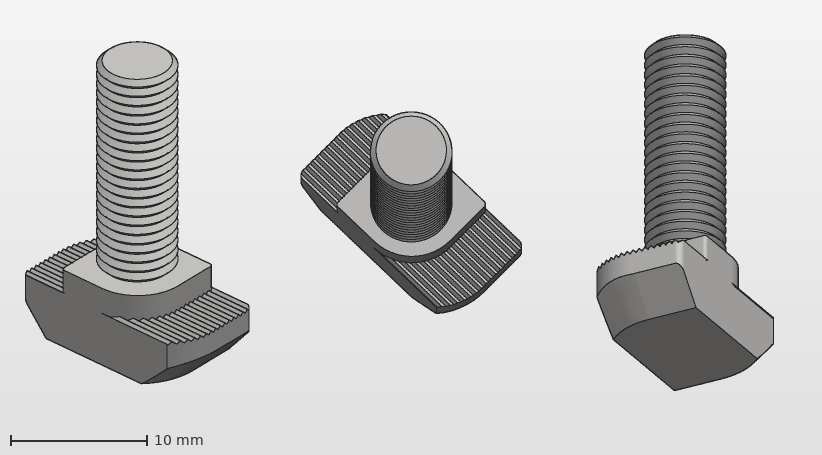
import cadquery as cq
import math

TOTAL_HEIGHT = 24.6
HEAD_LENGTH = 15.6
HEAD_DEPTH = 7.8
HALF_LENGTH = HEAD_LENGTH / 2
HALF_DEPTH = HEAD_DEPTH / 2

FLANGE_TOP = 4.7
BEVEL_TOP = 2.73
NECK_TOP = 6.67

BEVEL_BOTTOM_RADIUS = 5.49
BIG_CORNER_CUT = 1.4
BIG_CORNER_START = 0.42
SMALL_CORNER_RADIUS = 0.5
NECK_HALF_LENGTH = 3.95
NECK_CORNER_RADIUS = 0.27

GROOVE_COUNT = 16
FULL_GROOVE_COUNT = 15
FULL_GROOVE_SPAN = 7.5
SERRATION_PITCH = FULL_GROOVE_SPAN / FULL_GROOVE_COUNT
SERRATION_DEPTH = SERRATION_PITCH / 2
CUT_CLEARANCE = 0.12

STUD_BOTTOM = 7.0
CREST_RADIUS = 3.0
ROOT_RADIUS = 2.58
THREAD_COUNT = 22
THREAD_PITCH = (TOTAL_HEIGHT - STUD_BOTTOM) / THREAD_COUNT


def half_turn(shape):
    """The shape turned 180 degrees about the Z axis."""
    return shape.rotate((0, 0, 0), (0, 0, 1), 180)


def vertical_edges_at(half_length, mid_z):
    """Selects the two square corners, at -X -Y and at +X +Y, of a block as deep as the head."""
    near_corner = cq.selectors.NearestToPointSelector((-half_length, -HALF_DEPTH, mid_z))
    far_corner = cq.selectors.NearestToPointSelector((half_length, HALF_DEPTH, mid_z))
    return near_corner + far_corner


def flange_blank():
    """Plate with two large tangent corners and two small ones, diagonally opposite."""
    corner_rise = HALF_DEPTH - BIG_CORNER_START
    radius = (corner_rise**2 + BIG_CORNER_CUT**2) / (2 * BIG_CORNER_CUT)
    arc_end_x = HALF_LENGTH - BIG_CORNER_CUT
    mid_angle = math.asin(corner_rise / radius) / 2
    mid_x = HALF_LENGTH - radius * (1 - math.cos(mid_angle))
    mid_y = BIG_CORNER_START + radius * math.sin(mid_angle)
    return (
        cq.Workplane("XY")
        .moveTo(-HALF_LENGTH, -HALF_DEPTH)
        .lineTo(arc_end_x, -HALF_DEPTH)
        .threePointArc((mid_x, -mid_y), (HALF_LENGTH, -BIG_CORNER_START))
        .lineTo(HALF_LENGTH, HALF_DEPTH)
        .lineTo(-arc_end_x, HALF_DEPTH)
        .threePointArc((-mid_x, mid_y), (-HALF_LENGTH, BIG_CORNER_START))
        .close()
        .extrude(FLANGE_TOP)
        .edges(vertical_edges_at(HALF_LENGTH, FLANGE_TOP / 2))
        .fillet(SMALL_CORNER_RADIUS)
    )


def bevel_section():
    """Half section inside the bevel; its slope runs on past the end face to the flange top."""
    slope = (HALF_LENGTH - BEVEL_BOTTOM_RADIUS) / BEVEL_TOP
    top_radius = BEVEL_BOTTOM_RADIUS + slope * FLANGE_TOP
    return (
        cq.Workplane("XZ")
        .lineTo(-BEVEL_BOTTOM_RADIUS, 0)
        .lineTo(-top_radius, FLANGE_TOP)
        .lineTo(0, FLANGE_TOP)
        .close()
    )


def bevel_envelope():
    """Lower bevel: conical beside the large corners, flat beside the small ones."""
    cone = bevel_section().revolve(360, (0, 0, 0), (0, 1, 0))
    flat_side = bevel_section().extrude(HALF_DEPTH)
    return cone.union(flat_side).union(half_turn(flat_side))


def wing_grooves():
    """Groove cutters for the -X wing, counted from a crest on the -Y side."""
    valley_z = FLANGE_TOP - SERRATION_DEPTH
    cutter_height = SERRATION_DEPTH + CUT_CLEARANCE
    cutters = cq.Workplane("XY")
    for index in range(GROOVE_COUNT):
        valley_y = -HALF_DEPTH + (index + 0.5) * SERRATION_PITCH
        groove = (
            cq.Workplane("YZ", origin=(-HALF_LENGTH - CUT_CLEARANCE, valley_y, valley_z))
            .lineTo(cutter_height, cutter_height)
            .lineTo(-cutter_height, cutter_height)
            .close()
            .extrude(HALF_LENGTH + CUT_CLEARANCE)
        )
        cutters = cutters.add(groove)
    return cutters.combine()


def neck():
    """Block on the flange, rounded to its full half length at two opposite corners."""
    bottom = FLANGE_TOP - SERRATION_DEPTH
    arc_end_y = HALF_DEPTH - NECK_HALF_LENGTH
    return (
        cq.Workplane("XY", origin=(0, 0, bottom))
        .moveTo(-NECK_HALF_LENGTH, -HALF_DEPTH)
        .lineTo(0, -HALF_DEPTH)
        .radiusArc((NECK_HALF_LENGTH, -arc_end_y), -NECK_HALF_LENGTH)
        .lineTo(NECK_HALF_LENGTH, HALF_DEPTH)
        .lineTo(0, HALF_DEPTH)
        .radiusArc((-NECK_HALF_LENGTH, arc_end_y), -NECK_HALF_LENGTH)
        .close()
        .extrude(NECK_TOP - bottom)
        .edges(vertical_edges_at(NECK_HALF_LENGTH, (bottom + NECK_TOP) / 2))
        .fillet(NECK_CORNER_RADIUS)
    )


def build_head():
    grooves = wing_grooves()
    flange = flange_blank().intersect(bevel_envelope())
    flange = flange.cut(grooves).cut(half_turn(grooves))
    return flange.union(neck())


def build_stud():
    """Rod whose threads are equal V-shaped rings, with a root at each end."""
    profile = cq.Workplane("XZ").moveTo(0, STUD_BOTTOM).lineTo(-ROOT_RADIUS, STUD_BOTTOM)
    for index in range(THREAD_COUNT):
        root_z = STUD_BOTTOM + index * THREAD_PITCH
        profile = profile.lineTo(-CREST_RADIUS, root_z + THREAD_PITCH / 2)
        profile = profile.lineTo(-ROOT_RADIUS, root_z + THREAD_PITCH)
    return profile.lineTo(0, TOTAL_HEIGHT).close().revolve(360, (0, 0, 0), (0, 1, 0))


head = build_head()
stud = build_stud()

result = cq.Compound.makeCompound([head.val(), stud.val()])